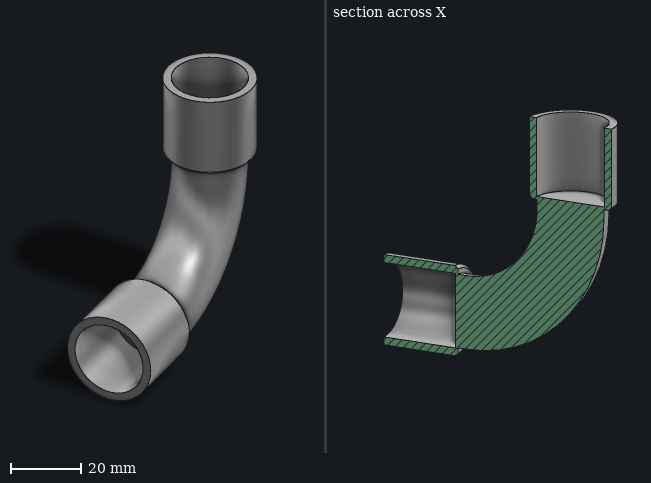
import cadquery as cq

overall_size = 74.5
socket_diameter = 27.0
pipe_diameter = 22.0
socket_length = 24.35
socket_chamfer = 1.0
neck_length = 2.75

socket_radius = socket_diameter / 2
pipe_radius = pipe_diameter / 2
arm_length = overall_size - socket_radius
bend_radius = arm_length - socket_length - neck_length
bore_depth = socket_length - socket_chamfer


def make_bend():
    """Solid quarter bend; its end axes cross at the origin."""
    return (
        cq.Workplane("XY", origin=(0, 0, bend_radius))
        .circle(pipe_radius)
        .revolve(90, (0, -bend_radius), (-1, -bend_radius))
    )


def make_arm():
    """Upright neck and socket, with a blind bore open at the top."""
    neck_and_core = (
        cq.Workplane("XY", origin=(0, 0, bend_radius))
        .circle(pipe_radius)
        .extrude(neck_length + socket_length)
    )
    socket = (
        cq.Workplane("XY", origin=(0, 0, arm_length - socket_length))
        .circle(socket_radius)
        .extrude(socket_length)
        .faces("<Z")
        .chamfer(socket_chamfer)
    )
    bore = (
        cq.Workplane("XY", origin=(0, 0, arm_length - bore_depth))
        .circle(pipe_radius)
        .extrude(bore_depth)
    )
    return neck_and_core.union(socket).cut(bore)


upright_arm = make_arm()
level_arm = upright_arm.rotate((0, 0, 0), (1, 0, 0), 90)

elbow = make_bend().union(upright_arm).union(level_arm)

centre_shift = (arm_length - socket_radius) / 2
result = elbow.translate((0, centre_shift, -centre_shift))